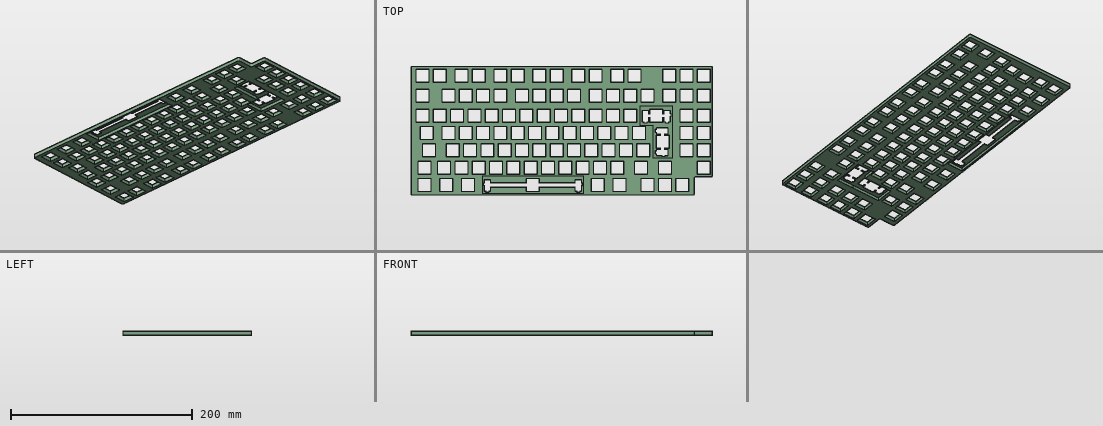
import cadquery as cq
PLATE_X = 331.38
PLATE_Y = 141.5
THICKNESS = 4.5
CORNER_RADIUS = 1.35

KEY_UNIT = 19.05
SWITCH_SIDE = 14.0
FIRST_KEY_X = 12.45
FIRST_KEY_DROP = 10.3
NUMBER_ROW_DROP = 21.95
LETTER_ROW_DROP = 43.9

NOTCH_X = 19.9
NOTCH_Y = 19.9

STAB_WIDTH = 6.75
STAB_TOP = 5.53
STAB_BOTTOM = 6.77
FOOT_WIDTH = 3.3
FOOT_DEPTH = 1.2
EAR_LENGTH = 0.87
EAR_BOTTOM = -0.65
EAR_TOP = 2.3
SHORT_STAB_OFFSET = 11.858
SPACE_STAB_OFFSET = 50.0
SHORT_CHANNEL_BOTTOM = -2.2
SHORT_CHANNEL_TOP = 2.1
SPACE_CHANNEL_BOTTOM = -2.4
SPACE_CHANNEL_TOP = 2.3

WEB = 0.5
SHORT_POCKET_X = 36.0
SHORT_POCKET_BOTTOM = -10.7
SHORT_POCKET_TOP = 10.8
SPACE_POCKET_X = 111.0
SPACE_POCKET_BOTTOM = -9.4
SPACE_POCKET_TOP = 10.1

LEFT_EDGE = -PLATE_X / 2
RIGHT_EDGE = PLATE_X / 2
TOP_EDGE = PLATE_Y / 2
BOTTOM_EDGE = -PLATE_Y / 2


def run(first, count):
    """Column positions of neighbouring one-unit keys, in key units."""
    return [first + step for step in range(count)]


FUNCTION_PAIRS = [0, 2.25, 4.5, 6.75, 9, 11.25]
FUNCTION_ROW = [column for first in FUNCTION_PAIRS for column in run(first, 2)] + run(14.25, 3)
NUMBER_ROW = run(0, 1) + run(1.5, 4) + run(5.75, 4) + run(10, 4) + run(14.25, 3)
BACKSPACE_ROW = run(0, 13) + run(15.25, 2)
TAB_ROW = run(0.25, 1) + run(1.5, 12) + run(15.25, 2)
CAPS_ROW = run(0.375, 1) + run(1.75, 12) + run(15.25, 2)
SHIFT_ROW = run(0.125, 1) + run(1.25, 11) + [12.625, 14, 16.25]
SPACE_ROW = [0.125, 1.375, 2.625, 10.125, 11.375] + run(13, 3)
BACKSPACE_COLUMN = 13.5
ENTER_COLUMN = 13.875
SPACE_COLUMN = 6.375


def column_x(column):
    return LEFT_EDGE + FIRST_KEY_X + column * KEY_UNIT


FUNCTION_Y = TOP_EDGE - FIRST_KEY_DROP
NUMBER_Y = FUNCTION_Y - NUMBER_ROW_DROP
BACKSPACE_Y = FUNCTION_Y - LETTER_ROW_DROP
TAB_Y = BACKSPACE_Y - KEY_UNIT
CAPS_Y = TAB_Y - KEY_UNIT
SHIFT_Y = CAPS_Y - KEY_UNIT
SPACE_Y = SHIFT_Y - KEY_UNIT
ENTER_Y = (TAB_Y + CAPS_Y) / 2

ROWS = [
    (FUNCTION_Y, FUNCTION_ROW),
    (NUMBER_Y, NUMBER_ROW),
    (BACKSPACE_Y, BACKSPACE_ROW),
    (TAB_Y, TAB_ROW),
    (CAPS_Y, CAPS_ROW),
    (SHIFT_Y, SHIFT_ROW),
    (SPACE_Y, SPACE_ROW),
]


def block(left, right, bottom, top, height=THICKNESS):
    """Upright block on the underside plane with the given edges."""
    corner_box = cq.Workplane("XY").box(right - left, top - bottom, height, centered=False)
    return corner_box.translate((left, bottom, 0))


def plate():
    """Plate with a cut-away lower right corner and rounded vertical edges."""
    outline = block(LEFT_EDGE, RIGHT_EDGE, BOTTOM_EDGE, TOP_EDGE)
    notch = block(RIGHT_EDGE - NOTCH_X, RIGHT_EDGE, BOTTOM_EDGE, BOTTOM_EDGE + NOTCH_Y)
    return outline.cut(notch).edges("|Z").fillet(CORNER_RADIUS)


def switch_holes():
    """Square cutters for all plain keys."""
    centres = [(column_x(column), y) for y, columns in ROWS for column in columns]
    return cq.Workplane("XY").pushPoints(centres).rect(SWITCH_SIDE, SWITCH_SIDE).extrude(THICKNESS)


def stabilizer_opening(offset, ear_sides, channel_bottom, channel_top):
    """Through cutter about the origin: switch, two stabilizers and the wire channel."""
    half_switch = SWITCH_SIDE / 2
    half_stab = STAB_WIDTH / 2
    half_foot = FOOT_WIDTH / 2
    cutter = block(-half_switch, half_switch, -half_switch, half_switch)
    cutter = cutter.union(block(-offset, offset, channel_bottom, channel_top))
    for x in (-offset, offset):
        cutter = cutter.union(block(x - half_stab, x + half_stab, -STAB_BOTTOM, STAB_TOP))
        cutter = cutter.union(block(x - half_foot, x + half_foot, -STAB_BOTTOM - FOOT_DEPTH, 0))
    ear_reach = offset + half_stab + EAR_LENGTH
    for side in ear_sides:
        left, right = sorted((side * offset, side * ear_reach))
        cutter = cutter.union(block(left, right, EAR_BOTTOM, EAR_TOP))
    return cutter


def underside_pocket(length, bottom, top):
    """Pocket cutter about the origin, leaving the web at the top face."""
    return block(-length / 2, length / 2, bottom, top, THICKNESS - WEB)


def short_key_hole():
    """Cutter for a two-unit key, with an ear on the +X stabilizer only."""
    opening = stabilizer_opening(SHORT_STAB_OFFSET, [1], SHORT_CHANNEL_BOTTOM, SHORT_CHANNEL_TOP)
    return opening.union(underside_pocket(SHORT_POCKET_X, SHORT_POCKET_BOTTOM, SHORT_POCKET_TOP))


def space_bar_hole():
    """Cutter for the space bar, with an ear on each stabilizer."""
    opening = stabilizer_opening(SPACE_STAB_OFFSET, [-1, 1], SPACE_CHANNEL_BOTTOM, SPACE_CHANNEL_TOP)
    return opening.union(underside_pocket(SPACE_POCKET_X, SPACE_POCKET_BOTTOM, SPACE_POCKET_TOP))


def wide_key_holes():
    """Cutters for backspace, the upright enter key and the space bar."""
    short = short_key_hole()
    upright = short.rotate((0, 0, 0), (0, 0, 1), -90)
    return [
        short.translate((column_x(BACKSPACE_COLUMN), BACKSPACE_Y, 0)),
        upright.translate((column_x(ENTER_COLUMN), ENTER_Y, 0)),
        space_bar_hole().translate((column_x(SPACE_COLUMN), SPACE_Y, 0)),
    ]


result = plate().cut(switch_holes())
for wide_hole in wide_key_holes():
    result = result.cut(wide_hole)